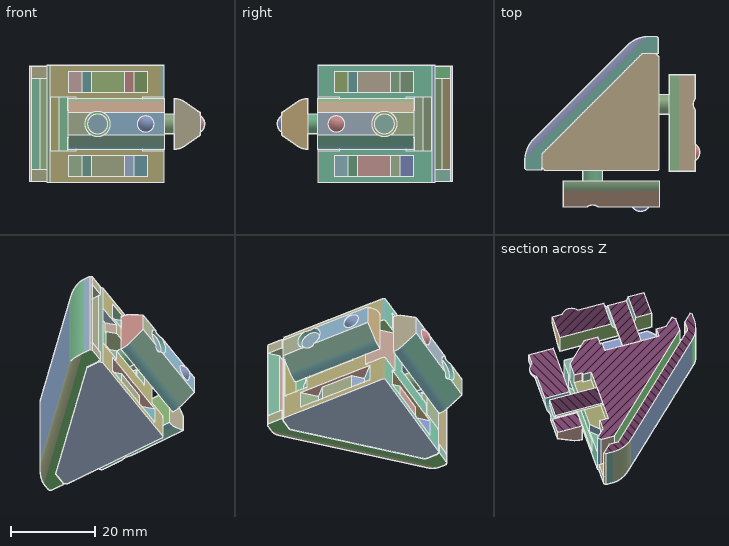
import cadquery as cq
import math

MIRROR_NORMAL = (1, 1, 0)
ROOT_2 = math.sqrt(2)

LEG = 27.88
HEIGHT = 28.0
SHORT_SIDE = 4.0
OUTER_CHAMFER = 0.7
CORNER_RADIUS = 0.5

WINDOW_CENTER = 13.35
WINDOW_LENGTH = 18.78
WINDOW_DEPTH = 3.17
RIDGE_RISE = 2.25
WINDOW_BOTTOM = 7.45
WINDOW_WIDTH = 5.0

GROOVE_START = 21.0
GROOVE_DEPTH = 2.0
GROOVE_WIDTH = 12.95
CORNER_RELIEF = 5.17
SLOT_LEDGE = 0.45
SLOT_WIDTH = 6.5
SLOT_DEPTH = 4.1

CAP_LEG = 32.0
CAP_HEIGHT = 27.5
CAP_INSET = 0.15
CAP_CHAMFER = 0.4
CAP_FACE_OFFSET = 37.45
CAP_END_RADIUS = 15.0 / 2
CAP_EDGE_RADIUS = 2.0
CAP_WALL = 2.4
CAVITY_WIDTH = 21.6

NUT_GAP = 2.4
NUT_LENGTH = 23.0
NUT_OVERHANG = 0.13
NUT_DEPTH = 6.2
NUT_WIDTH = 12.1
NUT_FACE_WIDTH = 5.4
NUT_SIDE_LENGTH = 1.38
NUT_ROUND_RADIUS = 4.0
THREAD_DIAMETER = 6.0
BALL_BASE_DIAMETER = 3.92
BALL_RISE = 1.1
BALL_POSITION = 4.4

SCREW_POSITION = 15.8
SCREW_DIAMETER = 4.75
SCREW_RECESS = 0.9


def mirrored(body):
    """The same shape on the other mounting face."""
    return body.mirror(MIRROR_NORMAL)


def upright_prism(points, height):
    """An outline in X and Y, extruded evenly about Z = 0."""
    return cq.Workplane("XY").polyline(points).close().extrude(height / 2, both=True)


def window_pocket(z_center):
    half = WINDOW_LENGTH / 2
    ridge_start = half - WINDOW_DEPTH
    ridge_top = ridge_start - RIDGE_RISE
    ridge_depth = WINDOW_DEPTH - RIDGE_RISE
    offsets = [
        (-half, 0),
        (-ridge_start, WINDOW_DEPTH),
        (-ridge_top, ridge_depth),
        (ridge_top, ridge_depth),
        (ridge_start, WINDOW_DEPTH),
        (half, 0),
    ]
    points = [(x - WINDOW_CENTER, y) for x, y in offsets]
    return upright_prism(points, WINDOW_WIDTH).translate((0, 0, z_center))


def locating_groove():
    """A trapezoid groove whose floor is as wide as the groove is deep, with 45 degree sides."""
    points = [
        (-GROOVE_START, 0),
        (-GROOVE_START - GROOVE_DEPTH, GROOVE_DEPTH),
        (-GROOVE_START - 2 * GROOVE_DEPTH, GROOVE_DEPTH),
        (-GROOVE_START - 3 * GROOVE_DEPTH, 0),
    ]
    return upright_prism(points, GROOVE_WIDTH)


def screw_slot():
    """A stepped slot centred on the screw, reaching to the near edge of the groove floor."""
    outer = GROOVE_START + GROOVE_DEPTH - SCREW_POSITION
    inner = outer - SLOT_LEDGE
    offsets = [
        (-outer, 0),
        (-outer, GROOVE_DEPTH),
        (-inner, GROOVE_DEPTH),
        (-inner, SLOT_DEPTH),
        (inner, SLOT_DEPTH),
        (inner, GROOVE_DEPTH),
        (outer, GROOVE_DEPTH),
        (outer, 0),
    ]
    points = [(x - SCREW_POSITION, y) for x, y in offsets]
    return upright_prism(points, SLOT_WIDTH)


def make_bracket():
    outline = [
        (0, 0),
        (-LEG + OUTER_CHAMFER, 0),
        (-LEG, OUTER_CHAMFER),
        (-LEG, SHORT_SIDE),
        (-SHORT_SIDE, LEG),
        (-OUTER_CHAMFER, LEG),
        (0, LEG - OUTER_CHAMFER),
    ]
    bracket = upright_prism(outline, HEIGHT)
    bracket = bracket.edges("|Z").edges(">(1, -1, 0)").fillet(CORNER_RADIUS)

    window_z = WINDOW_BOTTOM + WINDOW_WIDTH / 2
    cutters = [window_pocket(window_z), window_pocket(-window_z), locating_groove(), screw_slot()]
    for cutter in cutters:
        bracket = bracket.cut(cutter).cut(mirrored(cutter))

    relief = [(0, 0), (-CORNER_RELIEF, 0), (0, CORNER_RELIEF)]
    return bracket.cut(upright_prism(relief, GROOVE_WIDTH))


def cap_blank():
    """The cap's outer outline, with rounded ends on the sloped face, down to the bracket."""
    bend = math.radians(45)
    tangent = CAP_END_RADIUS * math.tan(bend / 2)
    end_y = CAP_FACE_OFFSET - CAP_LEG
    arc_start = (-CAP_LEG, end_y - tangent)
    arc_mid = (
        -CAP_LEG + CAP_END_RADIUS * (1 - math.cos(bend / 2)),
        arc_start[1] + CAP_END_RADIUS * math.sin(bend / 2),
    )
    arc_end = (-CAP_LEG + tangent / ROOT_2, end_y + tangent / ROOT_2)

    def opposite(point):
        return (-point[1], -point[0])

    foot = (-LEG, CAP_INSET)
    chamfer_inner = (-CAP_LEG + CAP_CHAMFER, CAP_INSET)
    chamfer_outer = (-CAP_LEG, CAP_INSET + CAP_CHAMFER)
    shoulder = (-LEG, SHORT_SIDE)
    return (
        cq.Workplane("XY")
        .moveTo(*foot)
        .lineTo(*chamfer_inner)
        .lineTo(*chamfer_outer)
        .lineTo(*arc_start)
        .threePointArc(arc_mid, arc_end)
        .lineTo(*opposite(arc_end))
        .threePointArc(opposite(arc_mid), opposite(arc_start))
        .lineTo(*opposite(chamfer_outer))
        .lineTo(*opposite(chamfer_inner))
        .lineTo(*opposite(foot))
        .lineTo(*opposite(shoulder))
        .lineTo(*shoulder)
        .close()
        .extrude(CAP_HEIGHT / 2, both=True)
    )


def rounded_slope_envelope():
    """A bar along the sloped face whose two long outer edges are rounded."""
    face_middle = (-CAP_FACE_OFFSET / 2, CAP_FACE_OFFSET / 2, 0)
    bar_depth = CAP_FACE_OFFSET
    bar = (
        cq.Workplane(cq.Plane(origin=face_middle, xDir=(-1, 1, 0), normal=(1, 1, 0)))
        .center(-bar_depth / 2, 0)
        .rect(bar_depth, CAP_HEIGHT)
        .extrude(CAP_LEG, both=True)
    )
    return bar.faces(">(-1, 1, 0)").edges("not |Z").fillet(CAP_EDGE_RADIUS)


def cap_cavity():
    """The hollow behind the sloped wall, flared to a thin lip at both open ends."""
    lip = (-CAP_LEG + CAP_CHAMFER, CAP_INSET)
    wall_x = -CAP_LEG + CAP_WALL
    flare_top = (wall_x, CAP_INSET + wall_x - lip[0])
    slope_start = (wall_x, wall_x + CAP_FACE_OFFSET - CAP_WALL * ROOT_2)
    half = [(0, CAP_INSET), lip, flare_top, slope_start]
    points = half + [(-y, -x) for x, y in reversed(half)]
    return upright_prism(points, CAVITY_WIDTH)


def make_cap():
    return cap_blank().intersect(rounded_slope_envelope()).cut(cap_cavity())


def make_nut():
    """The nut in front of the Y = 0 face, with its spring ball."""
    back_y = -NUT_GAP
    face_y = back_y - NUT_DEPTH
    shoulder_y = back_y - NUT_SIDE_LENGTH
    wide = NUT_WIDTH / 2
    narrow = NUT_FACE_WIDTH / 2
    section = [
        (back_y, -wide),
        (shoulder_y, -wide),
        (face_y, -narrow),
        (face_y, narrow),
        (shoulder_y, wide),
        (back_y, wide),
    ]
    nut = (
        cq.Workplane("YZ", origin=(NUT_OVERHANG, 0, 0))
        .polyline(section)
        .close()
        .extrude(-NUT_LENGTH)
    )
    nut = nut.edges("|X").edges(">>Y[-2]").fillet(NUT_ROUND_RADIUS)

    thread = (
        cq.Workplane("XZ", origin=(-SCREW_POSITION, back_y, 0))
        .circle(THREAD_DIAMETER / 2)
        .extrude(NUT_DEPTH)
    )
    ball_radius = ((BALL_BASE_DIAMETER / 2) ** 2 + BALL_RISE ** 2) / (2 * BALL_RISE)
    ball_y = face_y - BALL_RISE + ball_radius
    ball = cq.Workplane("XY").sphere(ball_radius).translate((-BALL_POSITION, ball_y, 0))
    return nut.cut(thread).union(ball)


def make_screw():
    """The screw from the slot floor to just inside the nut's outer face."""
    tip_depth = NUT_GAP + NUT_DEPTH - SCREW_RECESS
    return (
        cq.Workplane("XZ", origin=(-SCREW_POSITION, SLOT_DEPTH, 0))
        .circle(SCREW_DIAMETER / 2)
        .extrude(SLOT_DEPTH + tip_depth)
    )


bracket = make_bracket()
cap = make_cap()
fasteners = []
for make_body in (make_nut, make_screw):
    body = make_body()
    fasteners += [body.val(), mirrored(body).val()]

result = cq.Compound.makeCompound([bracket.val(), cap.val(), *fasteners])